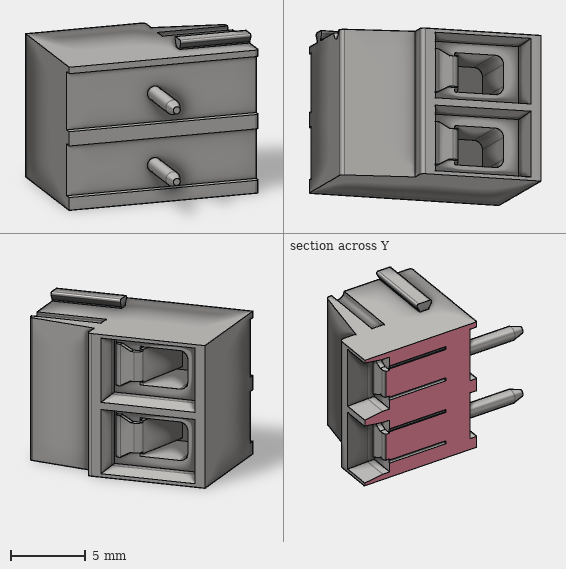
import cadquery as cq
import math

POLE_PITCH = 5.0
POLE_COUNT = 2
POLE_CENTRES = [POLE_PITCH * (i + 0.5) for i in range(POLE_COUNT)]

BODY_X = 9.0
BODY_Y = 13.5
BODY_Z = POLE_PITCH * POLE_COUNT
REAR_LENGTH = 5.0
STEP_Y = BODY_Y - REAR_LENGTH
STEP_X = 1.3
SLOPE_ANGLE = 10.0
ENTRY_CORNER_RADIUS = 0.3
REAR_CORNER_RADIUS = 0.3
PIN_SIDE_CORNER_RADIUS = 0.2

RELIEF_DEPTH = 0.5
BOTTOM_RIB = 0.9
TOP_RIB = 0.45
MIDDLE_RIB = 1.0

GROOVE_X = 3.1
GROOVE_RADIUS = 0.5
TONGUE_X = 6.8
TONGUE_HEIGHT = 0.68
TONGUE_TOP_HALF = 0.7
TONGUE_NECK_HALF = 0.37
TONGUE_NECK_HEIGHT = 0.1
TONGUE_RADIUS = 0.15

POCKET_Y_MIN = 0.73
POCKET_Y_MAX = 7.5
POCKET_HEIGHT = 4.5
POCKET_TAPER = 0.21
MOUTH_DEPTH = 1.45
POCKET_DEPTH = 2.0

HOLE_Y_MIN = 2.0
HOLE_Y_MAX = 5.47
HOLE_HALF = 1.35
HOLE_CORNER_RADIUS = 0.6
HOLE_ENTRY_RADIUS = 0.1
HOLE_END_X = 6.5

CLAMP_FACE_X = 1.6
CLAMP_RADIUS = 0.5
CLAMP_Y_MAX = 7.2
CLAMP_WIDE_HALF = 1.46
CLAMP_FLARE = 0.1
CLAMP_NECK_HALF = 1.04
CLAMP_TAPER_START_Y = 6.73
CLAMP_TAPER_END_Y = 5.95
JAW_HALF = 1.15
JAW_FRONT_Y = 5.23
JAW_END_Y = 4.13

PIN_Y = 6.25
PIN_RADIUS = 0.5
PIN_TIP_RADIUS = 0.25
PIN_SHOULDER_X = 12.3
PIN_END_X = 13.1


def make_housing():
    slope_top_x = STEP_X + REAR_LENGTH * math.tan(math.radians(SLOPE_ANGLE))
    outline = [
        (0, 0),
        (BODY_X, 0),
        (BODY_X, BODY_Y),
        (slope_top_x, BODY_Y),
        (STEP_X, STEP_Y),
        (0, STEP_Y),
    ]
    rounded_corners = [
        (BODY_X, BODY_Y, PIN_SIDE_CORNER_RADIUS),
        (slope_top_x, BODY_Y, REAR_CORNER_RADIUS),
        (0, STEP_Y, ENTRY_CORNER_RADIUS),
    ]
    housing = cq.Workplane("XY").polyline(outline).close().extrude(BODY_Z)
    for x, y, radius in rounded_corners:
        corner = cq.selectors.NearestToPointSelector((x, y, BODY_Z / 2))
        housing = housing.edges("|Z").edges(corner).fillet(radius)
    return housing


def box_between(x, y, z):
    size = (x[1] - x[0], y[1] - y[0], z[1] - z[0])
    return cq.Workplane("XY").box(*size, centered=False).translate((x[0], y[0], z[0]))


def cut_reliefs(housing):
    rib_edges = [BOTTOM_RIB]
    for i in range(1, POLE_COUNT):
        rib_edges += [i * POLE_PITCH - MIDDLE_RIB / 2, i * POLE_PITCH + MIDDLE_RIB / 2]
    rib_edges.append(BODY_Z - TOP_RIB)
    for z_range in zip(rib_edges[::2], rib_edges[1::2]):
        relief = box_between((BODY_X - RELIEF_DEPTH, BODY_X), (0, BODY_Y), z_range)
        housing = housing.cut(relief)
    return housing


def make_groove():
    back_plane = cq.Workplane("XZ", origin=(GROOVE_X, BODY_Y, BODY_Z))
    return back_plane.circle(GROOVE_RADIUS).extrude(REAR_LENGTH)


def make_tongue():
    outline = [
        (-TONGUE_NECK_HALF, 0),
        (TONGUE_NECK_HALF, 0),
        (TONGUE_NECK_HALF, TONGUE_NECK_HEIGHT),
        (TONGUE_TOP_HALF, TONGUE_HEIGHT),
        (-TONGUE_TOP_HALF, TONGUE_HEIGHT),
        (-TONGUE_NECK_HALF, TONGUE_NECK_HEIGHT),
    ]
    back_plane = cq.Workplane("XZ", origin=(TONGUE_X, BODY_Y, BODY_Z))
    tongue = back_plane.polyline(outline).close().extrude(REAR_LENGTH)
    return tongue.faces(">Z").edges("|Y").fillet(TONGUE_RADIUS)


def make_pocket(z):
    length = POCKET_Y_MAX - POCKET_Y_MIN
    inner_length = length - 2 * POCKET_TAPER
    inner_height = POCKET_HEIGHT - 2 * POCKET_TAPER
    y = (POCKET_Y_MIN + POCKET_Y_MAX) / 2
    mouth = (
        cq.Workplane("YZ", origin=(0, y, z))
        .rect(length, POCKET_HEIGHT)
        .workplane(offset=MOUTH_DEPTH)
        .rect(inner_length, inner_height)
        .loft()
    )
    straight = (
        cq.Workplane("YZ", origin=(MOUTH_DEPTH, y, z))
        .rect(inner_length, inner_height)
        .extrude(POCKET_DEPTH - MOUTH_DEPTH)
    )
    return mouth.union(straight)


def make_wire_hole(z):
    hole = box_between(
        (POCKET_DEPTH, HOLE_END_X),
        (HOLE_Y_MIN, HOLE_Y_MAX),
        (z - HOLE_HALF, z + HOLE_HALF),
    )
    hole = hole.edges("|X and <Y").fillet(HOLE_CORNER_RADIUS)
    return hole.edges("|X and >Y").fillet(HOLE_ENTRY_RADIUS)


def make_clamp(z):
    root_half = CLAMP_WIDE_HALF + CLAMP_FLARE
    slope = (JAW_FRONT_Y - JAW_END_Y) / (HOLE_END_X - POCKET_DEPTH)
    jaw_nose_y = JAW_FRONT_Y + slope * (POCKET_DEPTH - CLAMP_FACE_X)
    section = [
        (CLAMP_FACE_X, CLAMP_Y_MAX),
        (CLAMP_FACE_X, jaw_nose_y),
        (HOLE_END_X, JAW_END_Y),
        (HOLE_END_X, CLAMP_Y_MAX),
    ]
    profile = (
        cq.Workplane("XY", origin=(0, 0, z - root_half))
        .polyline(section)
        .close()
        .extrude(2 * root_half)
    )
    profile = profile.faces("<X").edges("|Z").fillet(CLAMP_RADIUS)

    half_outline = [
        (CLAMP_Y_MAX, root_half),
        (CLAMP_Y_MAX - CLAMP_FLARE, CLAMP_WIDE_HALF),
        (CLAMP_TAPER_START_Y, CLAMP_WIDE_HALF),
        (CLAMP_TAPER_END_Y, CLAMP_NECK_HALF),
        (JAW_END_Y, CLAMP_NECK_HALF),
    ]
    mirrored = [(y, -half) for y, half in reversed(half_outline)]
    plate = (
        cq.Workplane("YZ", origin=(CLAMP_FACE_X, 0, z))
        .polyline(half_outline + mirrored)
        .close()
        .extrude(HOLE_END_X - CLAMP_FACE_X)
    )
    jaw = box_between(
        (POCKET_DEPTH, HOLE_END_X),
        (JAW_END_Y, CLAMP_TAPER_END_Y),
        (z - JAW_HALF, z + JAW_HALF),
    )
    return profile.intersect(plate.union(jaw))


def make_pin(z):
    root_x = HOLE_END_X
    shaft_plane = cq.Workplane("YZ", origin=(root_x, PIN_Y, z))
    shaft = shaft_plane.circle(PIN_RADIUS).extrude(PIN_SHOULDER_X - root_x)
    tip = (
        cq.Workplane("YZ", origin=(PIN_SHOULDER_X, PIN_Y, z))
        .circle(PIN_RADIUS)
        .workplane(offset=PIN_END_X - PIN_SHOULDER_X)
        .circle(PIN_TIP_RADIUS)
        .loft()
    )
    return shaft.union(tip)


part = cut_reliefs(make_housing())
part = part.cut(make_groove()).union(make_tongue())
for pole_z in POLE_CENTRES:
    part = part.cut(make_pocket(pole_z)).cut(make_wire_hole(pole_z))
    part = part.union(make_clamp(pole_z)).union(make_pin(pole_z))

result = part